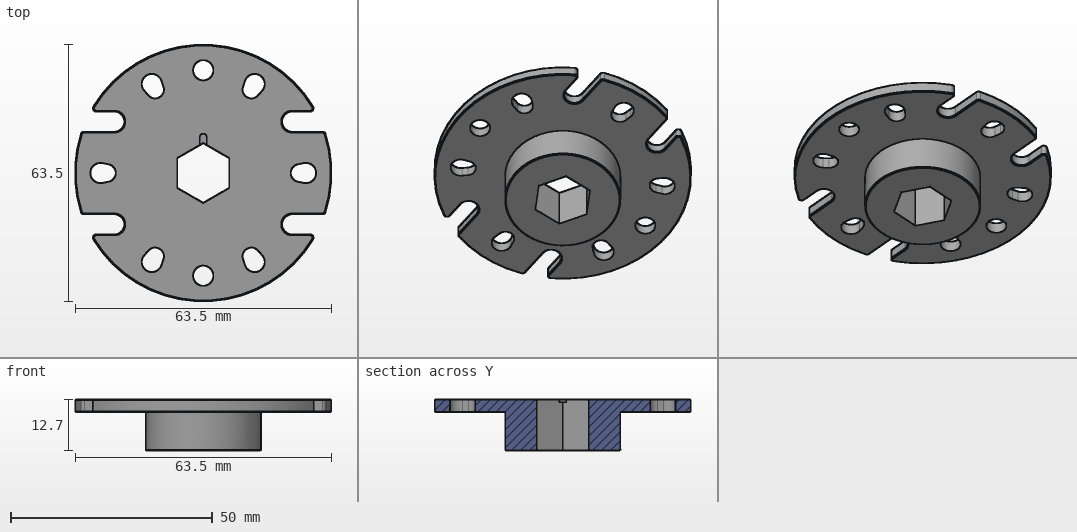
import cadquery as cq
import math

plate_diameter = 63.5
plate_thickness = 3.2
hub_diameter = 28.6
total_height = 12.7
edge_chamfer = 0.25

hex_across_flats = 12.75
mark_width = 1.8
mark_tip_y = 9.7
mark_depth = 0.75

outer_bolt_radius = 25.4
inner_bolt_radius = 23.8
outer_hole_radius = 2.5
inner_hole_radius = 2.15
round_hole_angles = (90, 270)
slot_angles = (0, 60, 120, 180, 240, 300)
notch_angles = (30, 150, 210, 330)
notch_corner_radius = 0.8

plate_radius = plate_diameter / 2
hex_corner_diameter = hex_across_flats / math.cos(math.radians(30))


def on_bolt_circle(angle):
    """Point on the outer bolt circle."""
    a = math.radians(angle)
    return outer_bolt_radius * math.cos(a), outer_bolt_radius * math.sin(a)


def round_hole_cutter(angle):
    """Plain hole on the outer bolt circle."""
    x, y = on_bolt_circle(angle)
    return cq.Workplane("XY").center(x, y).circle(outer_hole_radius).extrude(-plate_thickness)


def notch_cutter(angle):
    """Notch parallel to X, round at the bolt circle and open at the rim."""
    x, y = on_bolt_circle(angle)
    outward = math.copysign(plate_radius, x)
    round_end = round_hole_cutter(angle)
    channel = (
        cq.Workplane("XY")
        .center(x + outward / 2, y)
        .rect(plate_radius, 2 * outer_hole_radius)
        .extrude(-plate_thickness)
    )
    return round_end.union(channel)


def tapered_slot_cutter(angle):
    """Two holes of unequal size on one radial line, joined by their common tangents."""
    spacing = outer_bolt_radius - inner_bolt_radius
    tangent_sine = (outer_hole_radius - inner_hole_radius) / spacing
    tangent_cosine = math.sqrt(1 - tangent_sine**2)
    outer_x = outer_bolt_radius - outer_hole_radius * tangent_sine
    outer_y = outer_hole_radius * tangent_cosine
    inner_x = inner_bolt_radius - inner_hole_radius * tangent_sine
    inner_y = inner_hole_radius * tangent_cosine
    slot = (
        cq.Workplane("XY")
        .moveTo(inner_x, inner_y)
        .lineTo(outer_x, outer_y)
        .threePointArc((outer_bolt_radius + outer_hole_radius, 0), (outer_x, -outer_y))
        .lineTo(inner_x, -inner_y)
        .threePointArc((inner_bolt_radius - inner_hole_radius, 0), (inner_x, inner_y))
        .close()
        .extrude(-plate_thickness)
    )
    return slot.rotate((0, 0, 0), (0, 0, 1), angle)


def notched_plate():
    """Disc with four notches, rounded notch mouths and chamfered outline."""
    plate = cq.Workplane("XY").circle(plate_radius).extrude(-plate_thickness)
    for angle in notch_angles:
        plate = plate.cut(notch_cutter(angle))

    for angle in notch_angles:
        x, y = on_bolt_circle(angle)
        for side in (-1, 1):
            corner_y = y + side * outer_hole_radius
            corner_x = math.copysign(math.sqrt(plate_radius**2 - corner_y**2), x)
            corner = (corner_x, corner_y, -plate_thickness / 2)
            plate = plate.edges(cq.selectors.NearestToPointSelector(corner)).fillet(notch_corner_radius)
    return plate.faces("<Z or >Z").edges().chamfer(edge_chamfer)


def hub():
    """Cylinder under the plate with a chamfered lower rim."""
    body = cq.Workplane("XY").circle(hub_diameter / 2).extrude(-total_height)
    return body.faces("<Z").edges().chamfer(edge_chamfer)


def hex_bore():
    """Through bore with corners on the Y axis."""
    bore = cq.Workplane("XY").polygon(6, hex_corner_diameter).extrude(-total_height)
    return bore.rotate((0, 0, 0), (0, 0, 1), 90)


def index_mark():
    """Shallow round-ended groove running from inside the bore toward +Y."""
    return (
        cq.Workplane("XY")
        .center(0, mark_tip_y / 2)
        .slot2D(mark_tip_y, mark_width, 90)
        .extrude(-mark_depth)
    )


result = notched_plate().union(hub())
result = result.cut(hex_bore()).cut(index_mark())
for slot_angle in slot_angles:
    result = result.cut(tapered_slot_cutter(slot_angle))
for hole_angle in round_hole_angles:
    result = result.cut(round_hole_cutter(hole_angle))